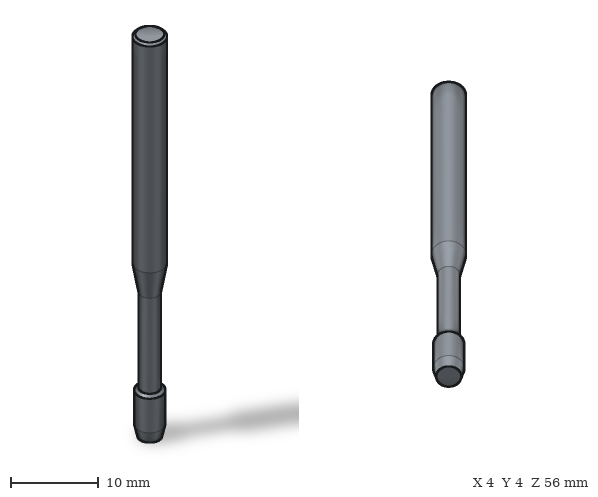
import cadquery as cq

total_length = 56.0
tip_taper_top = 1.6
head_top = 6.4
shoulder_top = 6.7
taper_bottom = 20.05
shank_bottom = 24.1

shank_diameter = 4.0
neck_diameter = 2.6
head_diameter = 3.6
tip_diameter = 2.85

end_bevel = 0.35

shank_radius = shank_diameter / 2
neck_radius = neck_diameter / 2
head_radius = head_diameter / 2
tip_radius = tip_diameter / 2


def revolve_profile(outline):
    """Revolve (radius, height) points about the Z axis, closing them along the axis."""
    bottom = outline[0][1]
    top = outline[-1][1]
    profile = [(0, bottom), *outline, (0, top)]
    return cq.Workplane("XZ").polyline(profile).close().revolve(360, (0, 0), (0, 1))


def make_cutting_head():
    """Tapered tip, cylindrical head and the sloped shoulder that meets the neck."""
    return revolve_profile([
        (tip_radius, 0),
        (head_radius, tip_taper_top),
        (head_radius, head_top),
        (neck_radius, shoulder_top),
    ])


def make_shank():
    """Slim neck that widens through a taper into the cylindrical shank."""
    return revolve_profile([
        (neck_radius, shoulder_top),
        (neck_radius, taper_bottom),
        (shank_radius, shank_bottom),
        (shank_radius, total_length - end_bevel),
        (shank_radius - end_bevel, total_length),
    ])


cutting_head = make_cutting_head()
shank = make_shank()

result = cq.Compound.makeCompound([cutting_head.val(), shank.val()])